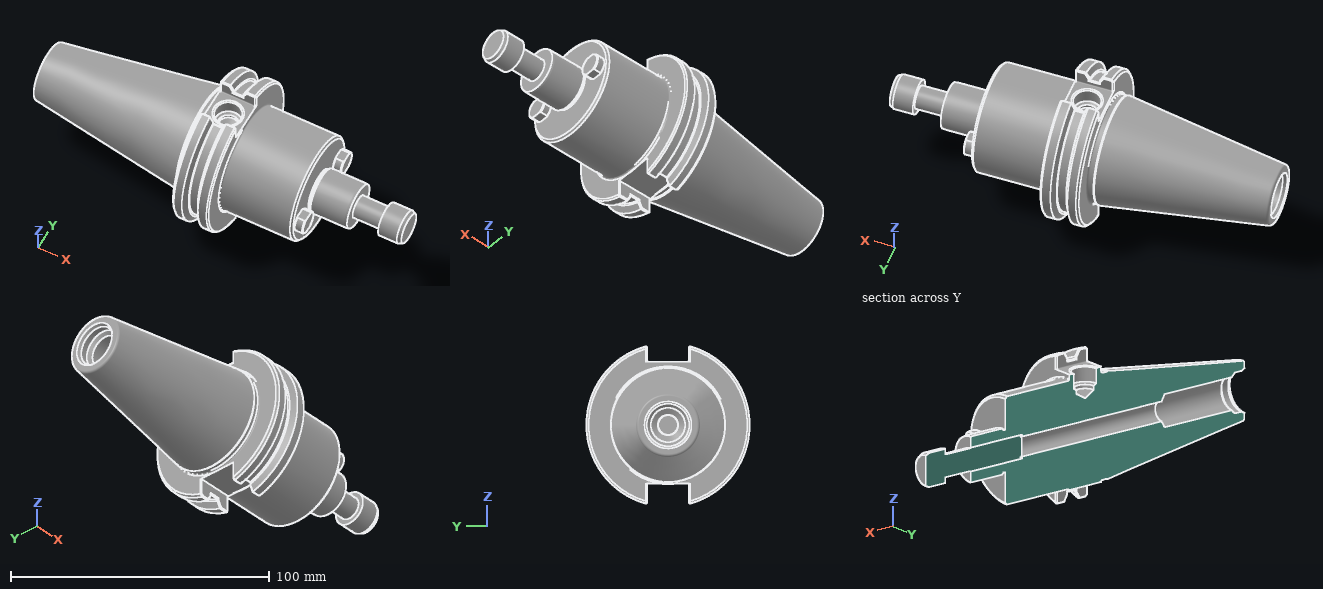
import cadquery as cq
import math

GAUGE_X = 68.2
FLANGE_START = 71.4
FLANGE_END = 87.3
BODY_END = 119.1
PILOT_END = 136.5
HEAD_START = 148.8
TOTAL_LENGTH = 158.6

GAUGE_DIA = 44.5
TAPER_RATIO = 7 / 24
TAPER_END_ROUND = 1.1
NECK_DIA = 44.0
NECK_STEP = 0.5
ROOT_FILLET = 0.8

BODY_DIA = GAUGE_DIA
BODY_CHAMFER = 1.0

FLANGE_DIA = 63.5
REAR_CHAMFER = 1.0
FRONT_CHAMFER = 0.6
GROOVE_FLOOR_DIA = 56.3
GROOVE_FLOOR_WIDTH = 4.0
V_DEPTH = 2.7
V_HALF_ANGLE = 30.0

SLOT_WIDTH = 16.2
SLOT_EDGE_CHAMFER = 0.5
UPPER_SLOT_FLOOR = 24.6
LOWER_SLOT_FLOOR = 22.7
SLOT_FILLET = 0.5

SIDE_HOLE_RIM_DIA = 12.4
SIDE_HOLE_RIM_DEPTH = 0.3
SIDE_HOLE_DIA = 11.0
SIDE_HOLE_DRILL_DIA = 8.4
SIDE_HOLE_DEPTH = 6.3
SIDE_HOLE_DRILL_DEPTH = 8.7
DRILL_HALF_ANGLE = 59.0

PILOT_DIA = 19.0
PILOT_UNDERCUT_DIA = 17.5
UNDERCUT_LENGTH = 0.6
PILOT_LEAD_LENGTH = 1.1
PILOT_LEAD_DEPTH = 0.2

BORE_RIM_DIA = 18.2
BORE_RIM_LENGTH = 1.6
BORE_DIA = 16.5
THREAD_DIA = 13.3
BORE_DEPTH = 4.8
BORE_STEP_LENGTH = 1.6
THREAD_END = 39.7
CORE_DIA = 8.0

SCREW_DIA = 9.5
SCREW_SHANK_LENGTH = 38.0
SCREW_TIP_DIA = 7.6
HEAD_DIA = 14.1
HEAD_BEVEL_LENGTH = 1.6
HEAD_BEVEL_DEPTH = 0.8

PIN_DIA = 9.4
PIN_FLATS = 8.1
PIN_HEIGHT = 3.8
PIN_CHAMFER = 0.3
PIN_OFFSET = 15.9

SCREW_TIP_X = HEAD_START - SCREW_SHANK_LENGTH
FLANGE_MIDDLE = (FLANGE_START + FLANGE_END) / 2


def turned(points):
    """Revolve an outline of (x, radius) points about the X axis."""
    return cq.Workplane("XY").polyline(points).close().revolve(360, (0, 0, 0), (1, 0, 0))


def make_taper():
    """Cone with a rounded small end, bevelled down to the neck."""
    end_radius = (GAUGE_DIA - TAPER_RATIO * GAUGE_X) / 2
    cone = turned([(0, 0), (0, end_radius), (GAUGE_X, GAUGE_DIA / 2), (GAUGE_X, 0)])
    cone = cone.faces("<X").edges().fillet(TAPER_END_ROUND)
    bevel = turned([
        (GAUGE_X, 0),
        (GAUGE_X, GAUGE_DIA / 2),
        (GAUGE_X + NECK_STEP, NECK_DIA / 2),
        (GAUGE_X + NECK_STEP, 0),
    ])
    return cone.union(bevel)


def make_flange_and_body():
    """Neck, flange and front cylinder, with fillets where they meet."""
    neck_radius = NECK_DIA / 2
    body_radius = BODY_DIA / 2
    flange_radius = FLANGE_DIA / 2
    neck_start = GAUGE_X + NECK_STEP
    neck_end = FLANGE_START - ROOT_FILLET
    body_start = FLANGE_END + ROOT_FILLET
    outline = (
        cq.Workplane("XY")
        .moveTo(neck_start, 0)
        .lineTo(neck_start, neck_radius)
        .lineTo(neck_end, neck_radius)
        .radiusArc((FLANGE_START, neck_radius + ROOT_FILLET), -ROOT_FILLET)
        .lineTo(FLANGE_START, flange_radius - REAR_CHAMFER)
        .lineTo(FLANGE_START + REAR_CHAMFER, flange_radius)
        .lineTo(FLANGE_END - FRONT_CHAMFER, flange_radius)
        .lineTo(FLANGE_END, flange_radius - FRONT_CHAMFER)
        .lineTo(FLANGE_END, body_radius + ROOT_FILLET)
        .radiusArc((body_start, body_radius), -ROOT_FILLET)
        .lineTo(BODY_END - BODY_CHAMFER, body_radius)
        .lineTo(BODY_END, body_radius - BODY_CHAMFER)
        .lineTo(BODY_END, 0)
        .close()
    )
    return outline.revolve(360, (0, 0, 0), (1, 0, 0))


def make_groove():
    """V groove around the flange, ending in short straight walls and a flat floor."""
    top_radius = FLANGE_DIA / 2
    wall_radius = top_radius - V_DEPTH
    floor_radius = GROOVE_FLOOR_DIA / 2
    floor_half = GROOVE_FLOOR_WIDTH / 2
    top_half = floor_half + V_DEPTH * math.tan(math.radians(V_HALF_ANGLE))
    return turned([
        (FLANGE_MIDDLE - top_half, top_radius),
        (FLANGE_MIDDLE - floor_half, wall_radius),
        (FLANGE_MIDDLE - floor_half, floor_radius),
        (FLANGE_MIDDLE + floor_half, floor_radius),
        (FLANGE_MIDDLE + floor_half, wall_radius),
        (FLANGE_MIDDLE + top_half, top_radius),
    ])


def make_slot(floor_height):
    """Block that cuts a slot across the flange, from its floor outwards along +Z."""
    return cq.Workplane("XY").box(
        FLANGE_END - FLANGE_START, SLOT_WIDTH, FLANGE_DIA / 2, centered=(True, True, False)
    ).translate((FLANGE_MIDDLE, 0, floor_height))


def chamfer_slot_edges(part):
    """Break the edges of the slot walls, leaving the floor edges sharp."""
    wall_y = SLOT_WIDTH / 2
    tolerance = 0.02

    def on_slot_wall(edge):
        box = edge.BoundingBox()
        in_wall_plane = abs(abs(box.center.y) - wall_y) < tolerance and box.ylen < tolerance
        above_upper_floor = box.center.z > UPPER_SLOT_FLOOR + tolerance
        below_lower_floor = box.center.z < -LOWER_SLOT_FLOOR - tolerance
        return in_wall_plane and (above_upper_floor or below_lower_floor)

    wall_edges = [edge for edge in part.edges().vals() if on_slot_wall(edge)]
    return part.newObject(wall_edges).chamfer(SLOT_EDGE_CHAMFER)


def make_slot_fillet(side):
    """Strip that rounds the corner between the upper slot's floor and its wall on one side."""
    corner_y = SLOT_WIDTH / 2
    strip_length = FLANGE_END - FLANGE_START - 2 * SLOT_EDGE_CHAMFER
    strip = (
        cq.Workplane("YZ")
        .moveTo(corner_y, UPPER_SLOT_FLOOR)
        .lineTo(corner_y, UPPER_SLOT_FLOOR + SLOT_FILLET)
        .radiusArc((corner_y - SLOT_FILLET, UPPER_SLOT_FLOOR), SLOT_FILLET)
        .close()
        .extrude(strip_length)
        .translate((FLANGE_START + SLOT_EDGE_CHAMFER, 0, 0))
    )
    return strip if side > 0 else strip.mirror("XZ")


def make_side_hole():
    """Chamfered, stepped blind hole with a conical end, along Z."""
    rim_radius = SIDE_HOLE_RIM_DIA / 2
    hole_radius = SIDE_HOLE_DIA / 2
    drill_radius = SIDE_HOLE_DRILL_DIA / 2
    tip_length = drill_radius / math.tan(math.radians(DRILL_HALF_ANGLE))
    step_length = (hole_radius - drill_radius) / math.tan(math.radians(DRILL_HALF_ANGLE))
    top = UPPER_SLOT_FLOOR
    drill_end = top - SIDE_HOLE_DRILL_DEPTH
    hole = (
        cq.Workplane("XZ")
        .polyline([
            (0, top),
            (rim_radius, top),
            (hole_radius, top - SIDE_HOLE_RIM_DEPTH),
            (hole_radius, top - SIDE_HOLE_DEPTH),
            (drill_radius, top - SIDE_HOLE_DEPTH - step_length),
            (drill_radius, drill_end),
            (0, drill_end - tip_length),
        ])
        .close()
        .revolve(360, (0, 0, 0), (0, 1, 0))
    )
    return hole.translate((FLANGE_MIDDLE, 0, 0))


def make_pilot():
    """Pilot with an undercut at the shoulder and a slight lead-in at the front."""
    radius = PILOT_DIA / 2
    undercut_radius = PILOT_UNDERCUT_DIA / 2
    undercut_end = BODY_END + UNDERCUT_LENGTH
    return turned([
        (BODY_END, 0),
        (BODY_END, undercut_radius),
        (undercut_end, undercut_radius),
        (undercut_end + radius - undercut_radius, radius),
        (PILOT_END - PILOT_LEAD_LENGTH, radius),
        (PILOT_END, radius - PILOT_LEAD_DEPTH),
        (PILOT_END, 0),
    ])


def make_bore():
    """Stepped bore from the small end of the taper to the tip of the screw."""
    cone_length = (THREAD_DIA - CORE_DIA) / 2 / math.tan(math.radians(DRILL_HALF_ANGLE))
    return turned([
        (0, 0),
        (0, BORE_RIM_DIA / 2),
        (BORE_RIM_LENGTH, BORE_DIA / 2),
        (BORE_DEPTH, BORE_DIA / 2),
        (BORE_DEPTH + BORE_STEP_LENGTH, THREAD_DIA / 2),
        (THREAD_END, THREAD_DIA / 2),
        (THREAD_END + cone_length, CORE_DIA / 2),
        (SCREW_TIP_X, CORE_DIA / 2),
        (SCREW_TIP_X, 0),
    ])


def make_screw_hole():
    """Hole that the screw shank fills."""
    radius = SCREW_DIA / 2
    return turned([(SCREW_TIP_X, 0), (SCREW_TIP_X, radius), (PILOT_END, radius), (PILOT_END, 0)])


def make_arbor():
    """Taper, flange, body and pilot in one piece."""
    upper_slot = make_slot(UPPER_SLOT_FLOOR)
    lower_slot = make_slot(LOWER_SLOT_FLOOR).rotate((0, 0, 0), (1, 0, 0), 180)
    flange_and_body = make_flange_and_body().cut(make_groove()).cut(upper_slot).cut(lower_slot)
    arbor = chamfer_slot_edges(flange_and_body)
    for added in (make_slot_fillet(-1), make_slot_fillet(1), make_taper(), make_pilot()):
        arbor = arbor.union(added)
    for cutter in (make_side_hole(), make_bore(), make_screw_hole()):
        arbor = arbor.cut(cutter)
    return arbor


def make_screw():
    """Clamping screw with a chamfered tip and a bevelled cylindrical head."""
    shank_radius = SCREW_DIA / 2
    head_radius = HEAD_DIA / 2
    tip_radius = SCREW_TIP_DIA / 2
    return turned([
        (SCREW_TIP_X, 0),
        (SCREW_TIP_X, tip_radius),
        (SCREW_TIP_X + shank_radius - tip_radius, shank_radius),
        (HEAD_START, shank_radius),
        (HEAD_START, head_radius),
        (TOTAL_LENGTH - HEAD_BEVEL_LENGTH, head_radius),
        (TOTAL_LENGTH, head_radius - HEAD_BEVEL_DEPTH),
        (TOTAL_LENGTH, 0),
    ])


def make_drive_pin(y):
    """Chamfered cylindrical button on the shoulder, with flats facing +Z and -Z."""
    button = cq.Workplane("YZ").circle(PIN_DIA / 2).extrude(PIN_HEIGHT).edges().chamfer(PIN_CHAMFER)
    between_flats = cq.Workplane("YZ").rect(PIN_DIA, PIN_FLATS).extrude(PIN_HEIGHT)
    return button.intersect(between_flats).translate((BODY_END, y, 0))


arbor = make_arbor()
screw = make_screw()
drive_pins = [make_drive_pin(side * PIN_OFFSET) for side in (-1, 1)]

result = cq.Compound.makeCompound([arbor.val(), screw.val(), *[pin.val() for pin in drive_pins]])